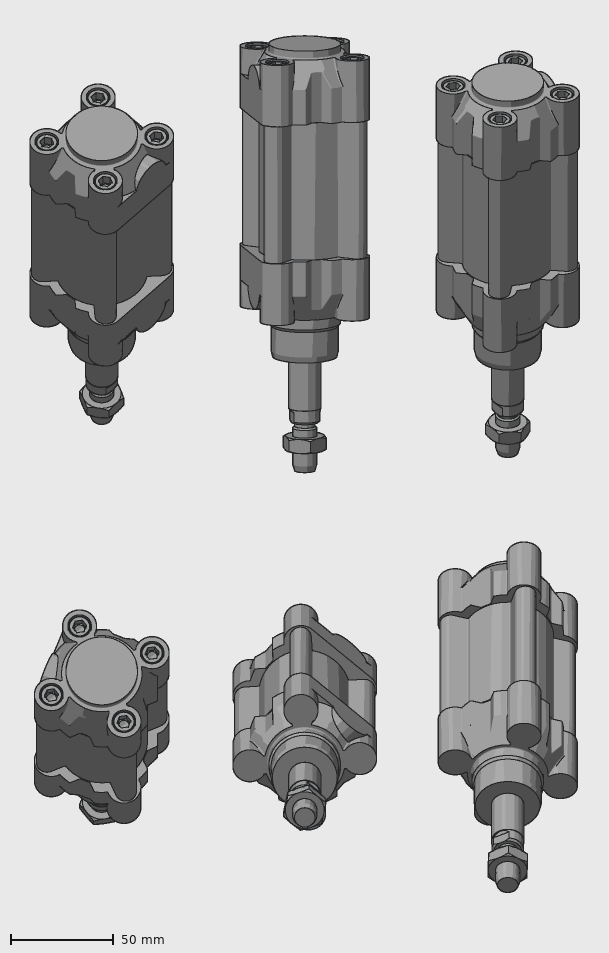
import cadquery as cq
import math

OVERALL_LENGTH = 213.0

TOLERANCE = 0.02

CAP_WIDTH = 54.5
CAP_LENGTH = 30.7
LUG_PITCH = 38.0
LUG_RADIUS = (CAP_WIDTH - LUG_PITCH) / 2
CAP_RADIUS = CAP_WIDTH / 2
CONE_TOP_RADIUS = 19.5
CONE_ANGLE = 30.0
CONE_BASE = CAP_LENGTH - (CAP_RADIUS - CONE_TOP_RADIUS) / math.tan(math.radians(CONE_ANGLE))
NOTCH_FLOOR_RADIUS = 22.8
NOTCH_FLOOR_WIDTH = 5.3
CAP_FILLET = 0.53
BOSS_RADIUS = 11.0
BOSS_OFFSET_Y = 5.5

SPIGOT_DIAMETER = 35.0
SPIGOT_FILLET = 0.6
FRONT_SPIGOT_CHAMFER_LENGTH = 1.5
REAR_SPIGOT_LENGTH = 4.0
FRONT_SPIGOT_LENGTH = 6.8
NOSE_DIAMETER = 32.8
NOSE_TOP = 72.5
NOSE_BOTTOM = 57.0
NOSE_CHAMFER_LENGTH = 2.8
NOSE_CHAMFER_DEPTH = 0.6

SCREW_BORE_DIAMETER = 11.5
SCREW_HEAD_DIAMETER = 10.6
SCREW_HEAD_CHAMFER = 0.5
SCREW_HEAD_RECESS = 0.6
SCREW_GAP_DEPTH = 4.3
HEX_FLATS = 6.0
HEX_DEPTH = 5.0
HEX_DRILL_DIAMETER = 5.0
HEX_DRILL_DEPTH = 1.5

BARREL_RADIUS = 22.4
BARREL_WIDTH = 51.5
COLUMN_WIDTH = 10.5
COLUMN_FILLET = 0.6

ROD_DIAMETER = 16.0
ROD_END_DIAMETER = 15.5
ROD_END_TOP = 31.3
ROD_END_BOTTOM = 24.3
ROD_END_CHAMFER = 1.0
WRENCH_FLATS = 13.0
NECK_DIAMETER = 10.0
THREAD_DIAMETER = 12.0
THREAD_TOP = 22.2
THREAD_TOP_CHAMFER = 0.9
TIP_CHAMFER_LENGTH = 3.2
TIP_DIAMETER = 10.0

NUT_FLATS = 19.0
NUT_BOTTOM = 10.5
NUT_HEIGHT = 7.0
NUT_CHAMFER_ANGLE = 30.0

REAR_FACE = OVERALL_LENGTH - REAR_SPIGOT_LENGTH
BARREL_TOP = REAR_FACE - CAP_LENGTH
FRONT_FACE = NOSE_TOP + FRONT_SPIGOT_LENGTH
BARREL_BOTTOM = FRONT_FACE + CAP_LENGTH


def cylinder(diameter, bottom, top):
    return cq.Workplane("XY").workplane(offset=bottom).circle(diameter / 2).extrude(top - bottom)


def lug_centres():
    half = LUG_PITCH / 2
    return [(x, y) for x in (-half, half) for y in (-half, half)]


def cap_core():
    """Round body of a cap, its outer end turned to a cone."""
    return (
        cq.Workplane("XZ")
        .polyline([
            (0, 0),
            (CAP_RADIUS, 0),
            (CAP_RADIUS, CONE_BASE),
            (CONE_TOP_RADIUS, CAP_LENGTH),
            (0, CAP_LENGTH),
        ])
        .close()
        .revolve(360, (0, 0), (0, 1))
    )


def side_block():
    """Flat +X side, as high as the cylindrical part of the cap."""
    block = cq.Workplane("XY").rect(CAP_RADIUS, LUG_PITCH).extrude(CONE_BASE)
    return block.translate((CAP_RADIUS / 2, 0, 0))


def cap_notches():
    """45-degree sided grooves along the axis, on every side but +X."""
    half_floor = NOTCH_FLOOR_WIDTH / 2
    depth = CAP_WIDTH - NOTCH_FLOOR_RADIUS
    half_mouth = half_floor + depth
    notch = (
        cq.Workplane("XY")
        .polyline([
            (-NOTCH_FLOOR_RADIUS, -half_floor),
            (-NOTCH_FLOOR_RADIUS, half_floor),
            (-NOTCH_FLOOR_RADIUS - depth, half_mouth),
            (-NOTCH_FLOOR_RADIUS - depth, -half_mouth),
        ])
        .close()
        .extrude(CAP_LENGTH)
    )
    notches = notch
    for angle in (-90, 90):
        notches = notches.union(notch.rotate((0, 0, 0), (0, 0, 1), angle))
    return notches


def port_boss():
    """Round boss pointing to +X, half-way along the cap and off its middle."""
    return (
        cq.Workplane("YZ")
        .center(BOSS_OFFSET_Y, CAP_LENGTH / 2)
        .circle(BOSS_RADIUS)
        .extrude(CAP_RADIUS)
    )


def cap_lugs():
    """Round corner lugs, each joined squarely to the middle of the cap."""
    lugs = cq.Workplane("XY").pushPoints(lug_centres()).circle(LUG_RADIUS).extrude(CAP_LENGTH)
    neck_middle = LUG_PITCH / 2 - LUG_RADIUS / 2
    necks = [(math.copysign(neck_middle, x), math.copysign(neck_middle, y)) for x, y in lug_centres()]
    return lugs.union(
        cq.Workplane("XY").pushPoints(necks).rect(LUG_RADIUS, LUG_RADIUS).extrude(CAP_LENGTH)
    )


def screw_cut():
    """Space round one screw head in its counterbore, with the hexagon socket in the head."""
    head_top = SCREW_GAP_DEPTH - SCREW_HEAD_RECESS
    head = cylinder(SCREW_HEAD_DIAMETER, 0, head_top).faces(">Z").chamfer(SCREW_HEAD_CHAMFER)
    hex_corners = HEX_FLATS / math.cos(math.pi / 6)
    hexagon = cq.Workplane("XY").workplane(offset=head_top).polygon(6, hex_corners).extrude(-HEX_DEPTH)
    hexagon = hexagon.rotate((0, 0, 0), (0, 0, 1), 90)
    down = cq.Vector(0, 0, -1)
    socket_floor = cq.Vector(0, 0, head_top - HEX_DEPTH)
    drill_point = cq.Solid.makeCone(HEX_DRILL_DIAMETER / 2, 0, HEX_DRILL_DEPTH, socket_floor, down)
    space = cylinder(SCREW_BORE_DIAMETER, 0, SCREW_GAP_DEPTH).cut(head)
    space = space.union(hexagon).union(cq.Workplane(drill_point))
    return space.translate((0, 0, CAP_LENGTH - SCREW_GAP_DEPTH))


def fillet_edges(cap):
    """Edges between the two flat end faces, without the seams where lug rounds run into their necks."""
    chosen = []
    for edge in cap.edges().vals():
        middle = edge.Center().z
        in_end_face = middle < TOLERANCE or middle > CAP_LENGTH - TOLERANCE
        is_seam = edge.geomType() == "LINE" and edge.BoundingBox().zmin > TOLERANCE
        if not in_end_face and not is_seam:
            chosen.append(edge)
    return chosen


def make_cap():
    """Cap common to both ends, with its inner face at z = 0 and its outer face upwards."""
    cap = cap_core().cut(cap_notches()).union(cap_lugs())
    cap = cap.newObject(fillet_edges(cap)).fillet(CAP_FILLET)
    return cap.union(side_block()).union(port_boss())


def spigot_base(diameter, bottom, top):
    """Spigot whose lower end flares out in a concave fillet."""
    radius = diameter / 2
    return (
        cq.Workplane("XZ")
        .moveTo(0, bottom)
        .lineTo(radius + SPIGOT_FILLET, bottom)
        .radiusArc((radius, bottom + SPIGOT_FILLET), SPIGOT_FILLET)
        .lineTo(radius, top)
        .lineTo(0, top)
        .close()
        .revolve(360, (0, 0), (0, 1))
    )


def make_rear_cap():
    cap = make_cap().union(spigot_base(SPIGOT_DIAMETER, CAP_LENGTH, CAP_LENGTH + REAR_SPIGOT_LENGTH))
    cut = screw_cut()
    for x, y in lug_centres():
        cap = cap.cut(cut.translate((x, y, 0)))
    return cap.translate((0, 0, BARREL_TOP))


def make_front_cap():
    chamfer_depth = (SPIGOT_DIAMETER - NOSE_DIAMETER) / 2
    spigot = spigot_base(SPIGOT_DIAMETER, CAP_LENGTH, CAP_LENGTH + FRONT_SPIGOT_LENGTH)
    spigot = spigot.faces(">Z").chamfer(FRONT_SPIGOT_CHAMFER_LENGTH, chamfer_depth)
    cap = make_cap().union(spigot).mirror("XY").translate((0, 0, BARREL_BOTTOM))
    nose = cylinder(NOSE_DIAMETER, NOSE_BOTTOM, NOSE_TOP)
    nose = nose.faces("<Z").chamfer(NOSE_CHAMFER_LENGTH, NOSE_CHAMFER_DEPTH)
    rod_bore = cylinder(ROD_DIAMETER, NOSE_BOTTOM, BARREL_BOTTOM)
    return cap.union(nose).cut(rod_bore)


def make_barrel():
    """Round tube with four diagonal columns, parallel sided and fully rounded outside."""
    length = BARREL_TOP - BARREL_BOTTOM
    base = cq.Workplane("XY").workplane(offset=BARREL_BOTTOM)
    end_centre = (BARREL_WIDTH - COLUMN_WIDTH) / 2 * math.sqrt(2)
    columns = base.slot2D(2 * end_centre + COLUMN_WIDTH, COLUMN_WIDTH, 45).extrude(length)
    columns = columns.union(columns.rotate((0, 0, 0), (0, 0, 1), 90))
    barrel = base.circle(BARREL_RADIUS).extrude(length).union(columns)
    junctions = []
    for edge in barrel.edges("|Z").vals():
        distance = math.hypot(edge.Center().x, edge.Center().y)
        if abs(distance - BARREL_RADIUS) < TOLERANCE:
            junctions.append(edge)
    return barrel.newObject(junctions).fillet(COLUMN_FILLET)


def wrench_flat():
    """Cutter for the +X wrench flat, its upper end sloping out at 45 degrees."""
    flat = WRENCH_FLATS / 2
    rim = ROD_DIAMETER / 2
    return (
        cq.Workplane("XZ")
        .polyline([
            (flat, ROD_END_BOTTOM),
            (flat, ROD_END_TOP - (rim - flat)),
            (rim, ROD_END_TOP),
            (rim, ROD_END_BOTTOM),
        ])
        .close()
        .extrude(ROD_DIAMETER / 2, both=True)
    )


def make_rod():
    shank = cylinder(ROD_DIAMETER, ROD_END_TOP, BARREL_BOTTOM)
    end = cylinder(ROD_END_DIAMETER, ROD_END_BOTTOM, ROD_END_TOP).faces("<Z").chamfer(ROD_END_CHAMFER)
    flat = wrench_flat()
    end = end.cut(flat).cut(flat.mirror("YZ"))
    neck = cylinder(NECK_DIAMETER, THREAD_TOP, ROD_END_BOTTOM)
    thread = cylinder(THREAD_DIAMETER, 0, THREAD_TOP).faces(">Z").chamfer(THREAD_TOP_CHAMFER)
    tip_depth = (THREAD_DIAMETER - TIP_DIAMETER) / 2
    thread = thread.faces("<Z").chamfer(TIP_CHAMFER_LENGTH, tip_depth)
    return shank.union(end).union(neck).union(thread)


def make_nut():
    """Hexagon with corners on Y, chamfered on both faces and bored for the thread."""
    corner_radius = NUT_FLATS / 2 / math.cos(math.pi / 6)
    edge_drop = (corner_radius - NUT_FLATS / 2) * math.tan(math.radians(NUT_CHAMFER_ANGLE))
    hexagon = cq.Workplane("XY").polygon(6, 2 * corner_radius).extrude(NUT_HEIGHT)
    hexagon = hexagon.rotate((0, 0, 0), (0, 0, 1), 90)
    turned = (
        cq.Workplane("XZ")
        .polyline([
            (0, 0),
            (NUT_FLATS / 2, 0),
            (corner_radius, edge_drop),
            (corner_radius, NUT_HEIGHT - edge_drop),
            (NUT_FLATS / 2, NUT_HEIGHT),
            (0, NUT_HEIGHT),
        ])
        .close()
        .revolve(360, (0, 0), (0, 1))
    )
    bore = cylinder(THREAD_DIAMETER, 0, NUT_HEIGHT)
    return hexagon.intersect(turned).cut(bore).translate((0, 0, NUT_BOTTOM))


rear_cap = make_rear_cap()
front_cap = make_front_cap()
barrel = make_barrel()
rod = make_rod()
nut = make_nut()

result = cq.Compound.makeCompound([
    rear_cap.val(),
    front_cap.val(),
    barrel.val(),
    rod.val(),
    nut.val(),
])